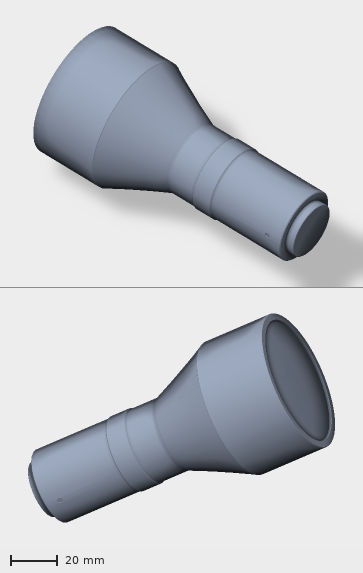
import cadquery as cq
import math

head_radius = 31.0
lens_radius = 27.7
bezel_radius = 28.0
barrel_radius = 17.0
ring_radius = 17.5
mount_radius = 12.8

head_end = 32.5
taper_end = 61.8
ring_start = 76.0
ring_end = 86.0
barrel_end = 123.4
total_length = 127.42

edge_break = 0.25
barrel_break = 0.4
taper_sag = 0.3
collar_step = 0.2
collar_length = 0.8
ring_front_bevel = 0.4
ring_rear_bevel = 0.6

recess_depth = 1.1
dome_height = 1.0

screw_station = 116.2
screw_diameter = 2.4
screw_depth = 0.5
screw_count = 3
screw_start_angle = 45.0


def make_body():
    """Revolve the outer profile, including the domed front recess, about X."""
    taper_end_radius = barrel_radius + collar_step
    taper_start_radius = head_radius - edge_break
    taper_length = math.hypot(taper_end - head_end, taper_start_radius - taper_end_radius)
    taper_mid = (
        (head_end + taper_end) / 2 - taper_sag * (taper_start_radius - taper_end_radius) / taper_length,
        (taper_start_radius + taper_end_radius) / 2 - taper_sag * (taper_end - head_end) / taper_length,
    )

    dome_tip = recess_depth - dome_height
    sphere_radius = (lens_radius**2 + dome_height**2) / (2 * dome_height)
    half_radius = lens_radius / 2
    dome_mid_station = dome_tip + sphere_radius - math.sqrt(sphere_radius**2 - half_radius**2)

    profile = (
        cq.Workplane("XY")
        .moveTo(dome_tip, 0)
        .threePointArc((dome_mid_station, half_radius), (recess_depth, lens_radius))
        .lineTo(0, bezel_radius)
        .lineTo(0, head_radius - edge_break)
        .lineTo(edge_break, head_radius)
        .lineTo(head_end - edge_break, head_radius)
        .lineTo(head_end, taper_start_radius)
        .threePointArc(taper_mid, (taper_end, taper_end_radius))
        .lineTo(taper_end + collar_length, barrel_radius)
        .lineTo(ring_start, barrel_radius)
        .lineTo(ring_start + ring_front_bevel, ring_radius)
        .lineTo(ring_end - ring_rear_bevel, ring_radius)
        .lineTo(ring_end, barrel_radius)
        .lineTo(barrel_end - barrel_break, barrel_radius)
        .lineTo(barrel_end, barrel_radius - barrel_break)
        .lineTo(barrel_end, mount_radius)
        .lineTo(total_length - edge_break, mount_radius)
        .lineTo(total_length, mount_radius - edge_break)
        .lineTo(total_length, 0)
        .close()
    )
    return profile.revolve(360, (0, 0, 0), (1, 0, 0))


def make_screw_hole(angle):
    """Blind radial hole cutter at the given angle around X, from +Y toward +Z."""
    return (
        cq.Workplane("XZ", origin=(screw_station, barrel_radius - screw_depth, 0))
        .circle(screw_diameter / 2)
        .extrude(-2 * screw_depth)
        .rotate((0, 0, 0), (1, 0, 0), angle)
    )


result = make_body()
for index in range(screw_count):
    result = result.cut(make_screw_hole(screw_start_angle + index * 360 / screw_count))